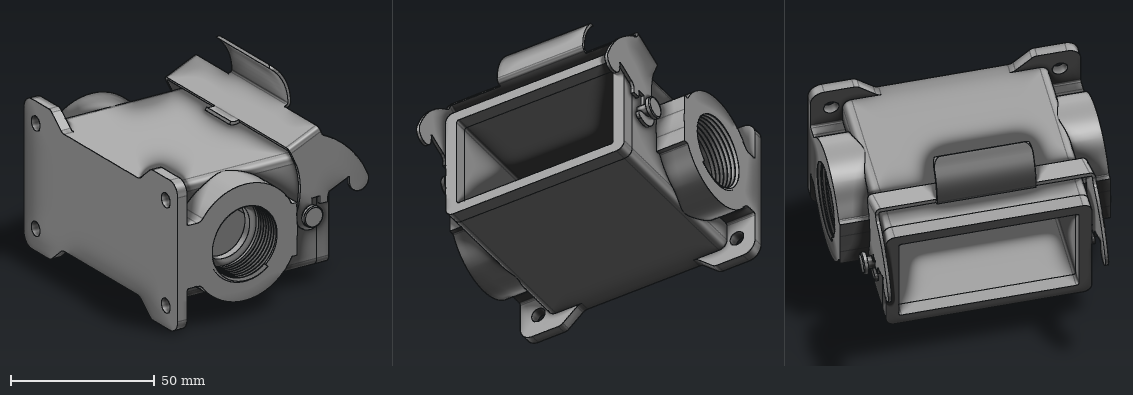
import cadquery as cq
import math


plate_length = 97.0
plate_height = 57.0
plate_thickness = 4.0
plate_corner_radius = 5.0
waist_half_length = 24.2
pad_inner_x = 31.7
waist_fillet = 3.0
mount_hole_diameter = 5.5
mount_hole_x = 41.0
mount_hole_z = 20.0

box_length = 73.8
box_height = 44.5
box_corner_radius = 3.2
box_end_y = 66.0
wall_x = 4.6
wall_z = 4.0
cavity_corner_radius = 1.0

entry_y = 28.25
entry_root_x = box_length / 2 - box_corner_radius
entry_diameter = 44.2
entry_flat_y = 50.0
entry_flat_half_height = 10.0
entry_flat_fillet = 0.5
entry_web_half_height = 12.0
entry_web_fillet = 3.0
entry_web_foot_fillet = 0.8
entry_bore_diameter = 27.0
entry_bore_depth = 13.2
entry_through_diameter = 21.5
thread_pitch = 1.6
thread_groove_width = 0.9 * thread_pitch
thread_depth = 1.4
thread_length = 11.8
thread_start_angle = 220.0

peg_y = 60.7
peg_diameter = 4.5
peg_head_diameter = 8.0
peg_head_start_x = 41.5
peg_head_end_x = 43.25
peg_head_chamfer = 0.4
peg_root_depth = 1.0

seal_end_y = 71.2

lever_outer_x = 39.5
sheet_thickness = 1.2
bend_outer_radius = 2.0
lever_tilt = 24.0
bridge_top_v = 27.25
bridge_front_u = 3.4
bridge_rear_u = 17.2
handle_width = 35.4
handle_outer_radius = 19.0
handle_rear_y = 67.95
handle_top_z = 48.28
handle_corner_radius = 3.0
handle_bend_inner_radius = 0.8
lip_width = 15.3
lip_bend_radius = 4.3
lip_bend_angle = 52.0
hook_radius = 4.0
hook_y = 82.15
hook_z = 7.7
nub_radius = 1.5
nub_y = 64.2
nub_z = -4.0
slot_front_y = 62.3
slot_rear_y = 65.6
slot_top_z = 5.55
heel_rear_y = 68.95
heel_bottom_z = 2.65
heel_corner_start = (70.6, 6.8)
heel_corner_middle = (69.4, 6.0)
heel_corner_end_z = 4.6
neck_middle = (66.8, 28.7)
neck_end = (68.5, 27.6)
back_middle = (78.5, 20.4)
hook_back_angle = 30.0
throat_radius = 0.4
fork_outer_middle = (57.4, -4.6)
front_edge_bottom = (56.0, 1.5)
front_edge_middle = (57.5, 10.4)
front_edge_top = (56.0, 19.2)

sides = (-1, 1)
tilt = math.radians(lever_tilt)


def box_section(start_y, end_y, length, height, radius):
    """Rounded rectangular bar along Y."""
    return (
        cq.Workplane("XZ", origin=(0, start_y, 0))
        .rect(length, height)
        .extrude(-(end_y - start_y))
        .edges("|Y")
        .fillet(radius)
    )


def cylinder_x(start_x, end_x, diameter, y):
    """Cylinder along X at height Z = 0."""
    return cq.Workplane("YZ", origin=(start_x, y, 0)).circle(diameter / 2).extrude(end_x - start_x)


def mounting_plate():
    half_length = plate_length / 2
    half_height = plate_height / 2
    half_waist = box_height / 2
    upper_right = [
        (waist_half_length, half_waist),
        (pad_inner_x, half_height),
        (half_length, half_height),
    ]
    lower_right = [(x, -z) for x, z in reversed(upper_right)]
    right = upper_right + lower_right
    left = [(-x, -z) for x, z in right]
    plate = cq.Workplane("XZ").polyline(right + left).close().extrude(-plate_thickness)

    def edges_at(x, z):
        points = [(sx * x, plate_thickness / 2, sz * z) for sx in sides for sz in sides]
        selection = plate.newObject([])
        for point in points:
            selection = selection.add(plate.edges(cq.NearestToPointSelector(point)))
        return selection

    waist_edges = edges_at(waist_half_length, half_waist).add(edges_at(pad_inner_x, half_height))
    plate = waist_edges.fillet(waist_fillet)
    plate = edges_at(half_length, half_height).fillet(plate_corner_radius)
    holes = (
        cq.Workplane("XZ")
        .rect(2 * mount_hole_x, 2 * mount_hole_z, forConstruction=True)
        .vertices()
        .circle(mount_hole_diameter / 2)
        .extrude(-plate_thickness)
    )
    return plate.cut(holes)


def tangent_offset(half_height, fillet):
    """Y distance from the entry axis to the end of a fillet between entry and a flat at half_height."""
    return math.sqrt((entry_diameter / 2 + fillet) ** 2 - (half_height + fillet) ** 2)


def flank(half_height, fillet, direction, reach):
    """Quarter of the boss from the entry axis out to reach, with concave fillets against the entry circle."""
    offset = tangent_offset(half_height, fillet)
    ratio = entry_diameter / 2 / (entry_diameter / 2 + fillet)
    touch = (entry_y + direction * offset * ratio, (half_height + fillet) * ratio)
    end = (entry_y + direction * offset, half_height)
    lean = math.atan2(half_height + fillet, offset)
    middle_angle = (lean + math.pi / 2) / 2
    middle = (
        end[0] - direction * fillet * math.cos(middle_angle),
        half_height + fillet - fillet * math.sin(middle_angle),
    )
    return (
        cq.Workplane("YZ", origin=(entry_root_x, 0, 0))
        .moveTo(entry_y, 0)
        .lineTo(*touch)
        .threePointArc(middle, end)
        .lineTo(reach, half_height)
        .lineTo(reach, 0)
        .close()
        .extrude(plate_length / 2 - entry_root_x)
    )


def web_foot():
    """Small fillets where the web meets the plate."""
    size = entry_web_foot_fillet
    return (
        cq.Workplane("YZ", origin=(entry_root_x, 0, 0))
        .moveTo(plate_thickness, entry_web_half_height)
        .lineTo(plate_thickness + size, entry_web_half_height)
        .radiusArc((plate_thickness, entry_web_half_height + size), size)
        .close()
        .extrude(plate_length / 2 - entry_root_x)
    )


def cable_entry():
    """Entry boss on the +X side."""
    boss = cylinder_x(entry_root_x, plate_length / 2, entry_diameter, entry_y)
    parts = [
        flank(entry_flat_half_height, entry_flat_fillet, 1, entry_flat_y),
        flank(entry_web_half_height, entry_web_fillet, -1, plate_thickness),
        web_foot(),
    ]
    for part in parts:
        boss = boss.union(part).union(part.mirror("XY"))
    return boss


def entry_thread():
    """Helical V groove cut into the entry bore on the +X side."""
    bore_radius = entry_bore_diameter / 2
    overlap = 0.1
    half_width = thread_groove_width / 2
    helix = cq.Wire.makeHelix(thread_pitch, thread_length, bore_radius)
    groove = (
        cq.Workplane("XZ")
        .polyline([
            (bore_radius - overlap, -half_width),
            (bore_radius + thread_depth, 0),
            (bore_radius - overlap, half_width),
        ])
        .close()
        .sweep(cq.Workplane(helix), isFrenet=True)
    )
    groove = groove.rotate((0, 0, 0), (0, 1, 0), -90)
    groove = groove.rotate((0, 0, 0), (1, 0, 0), thread_start_angle)
    return groove.translate((plate_length / 2, entry_y, 0))


def pivot_peg():
    """Headed peg on the +X side that carries the lever."""
    shank = cylinder_x(box_length / 2 - peg_root_depth, peg_head_end_x, peg_diameter, peg_y)
    head = cylinder_x(peg_head_start_x, peg_head_end_x, peg_head_diameter, peg_y)
    return shank.union(head.faces(">X").chamfer(peg_head_chamfer))


def cavity(start_y, end_y):
    return box_section(
        start_y, end_y, box_length - 2 * wall_x, box_height - 2 * wall_z, cavity_corner_radius
    )


def make_housing():
    body = box_section(0, box_end_y, box_length, box_height, box_corner_radius)
    body = body.union(mounting_plate())
    entry = cable_entry()
    peg = pivot_peg()
    bore = cylinder_x(plate_length / 2 - entry_bore_depth, plate_length / 2, entry_bore_diameter, entry_y)
    thread = entry_thread()
    body = body.union(entry).union(entry.mirror("YZ"))
    body = body.union(peg).union(peg.mirror("YZ"))
    body = body.cut(cavity(plate_thickness, box_end_y))
    body = body.cut(bore).cut(bore.mirror("YZ"))
    body = body.cut(cylinder_x(-plate_length / 2, plate_length / 2, entry_through_diameter, entry_y))
    return body.cut(thread).cut(thread.mirror("YZ"))


def make_seal():
    frame = box_section(box_end_y, seal_end_y, box_length, box_height, box_corner_radius)
    return frame.cut(cavity(box_end_y, seal_end_y))


def tilted(u, v):
    """Y and Z of a point given along (u) and across (v) the tilted bridge, measured from the peg axis."""
    return (
        peg_y + u * math.cos(tilt) - v * math.sin(tilt),
        u * math.sin(tilt) + v * math.cos(tilt),
    )


def point_on(center, radius, angle):
    """Point on a circle in the YZ plane, with the angle in radians from +Y."""
    return (center[0] + radius * math.cos(angle), center[1] + radius * math.sin(angle))


def lever_side():
    """Side plate on the +X side with rear hook and the open fork around the peg."""
    bend_v = bridge_top_v - bend_outer_radius
    peg_radius = peg_diameter / 2
    slot_entry_z = math.sqrt(peg_radius**2 - (slot_front_y - peg_y) ** 2)
    hook_center = (hook_y, hook_z)
    throat_front_y = hook_y - hook_radius
    underside_slope = math.tan(tilt)
    throat_end_y = throat_front_y - throat_radius
    throat_end_z = heel_corner_start[1] + (throat_end_y - heel_corner_start[0]) * underside_slope
    return (
        cq.Workplane("YZ", origin=(lever_outer_x - sheet_thickness, 0, 0))
        .moveTo(*tilted(bridge_front_u, bend_v))
        .lineTo(*tilted(bridge_rear_u, bend_v))
        .threePointArc(neck_middle, neck_end)
        .threePointArc(back_middle, point_on(hook_center, hook_radius, math.radians(hook_back_angle)))
        .threePointArc((hook_y, hook_z - hook_radius), (throat_front_y, hook_z))
        .lineTo(throat_front_y, throat_end_z - throat_radius / 2)
        .radiusArc((throat_end_y, throat_end_z), -throat_radius)
        .lineTo(*heel_corner_start)
        .threePointArc(heel_corner_middle, (heel_rear_y, heel_corner_end_z))
        .lineTo(heel_rear_y, heel_bottom_z)
        .lineTo(slot_rear_y, heel_bottom_z)
        .lineTo(slot_rear_y, slot_top_z)
        .lineTo(slot_front_y, slot_top_z)
        .lineTo(slot_front_y, slot_entry_z)
        .threePointArc((peg_y - peg_radius, 0), (peg_y, -peg_radius))
        .lineTo(nub_y, nub_z + nub_radius)
        .threePointArc((nub_y + nub_radius, nub_z), (nub_y, nub_z - nub_radius))
        .threePointArc(fork_outer_middle, front_edge_bottom)
        .threePointArc(front_edge_middle, front_edge_top)
        .close()
        .extrude(sheet_thickness)
    )


def lever_bridge():
    """Bent sheet that joins the two side plates."""
    length = bridge_rear_u - bridge_front_u
    front_y, front_z = tilted(bridge_front_u, bridge_top_v - bend_outer_radius)
    plane = cq.Plane(
        origin=(0, front_y, front_z),
        xDir=(1, 0, 0),
        normal=(0, -math.cos(tilt), -math.sin(tilt)),
    )

    inner_radius = bend_outer_radius - sheet_thickness
    flat_half = lever_outer_x - bend_outer_radius
    diagonal = math.sqrt(0.5)

    def arch(radius):
        return (
            cq.Workplane(plane)
            .moveTo(-flat_half - radius, 0)
            .threePointArc((-flat_half - radius * diagonal, radius * diagonal), (-flat_half, radius))
            .lineTo(flat_half, radius)
            .threePointArc((flat_half + radius * diagonal, radius * diagonal), (flat_half + radius, 0))
            .close()
            .extrude(-length)
        )

    return arch(bend_outer_radius).cut(arch(inner_radius))


def arc_strip(width, center, inner_radius, outer_radius, start, end):
    """Curved sheet of the given width along X, between two angles in the YZ plane."""
    middle = (start + end) / 2
    return (
        cq.Workplane("YZ", origin=(-width / 2, 0, 0))
        .moveTo(*point_on(center, inner_radius, start))
        .lineTo(*point_on(center, outer_radius, start))
        .threePointArc(point_on(center, outer_radius, middle), point_on(center, outer_radius, end))
        .lineTo(*point_on(center, inner_radius, end))
        .threePointArc(point_on(center, inner_radius, middle), point_on(center, inner_radius, start))
        .close()
        .extrude(width)
    )


def lever_handle():
    """Curved grip rising from the rear edge of the bridge."""
    bend_radius = handle_bend_inner_radius + sheet_thickness
    bend_y = handle_rear_y - bend_radius
    bridge_edge_y, bridge_edge_z = tilted(bridge_rear_u, bridge_top_v)
    bend_z = (
        bridge_edge_z
        + (bend_y - bridge_edge_y) * math.tan(tilt)
        + handle_bend_inner_radius / math.cos(tilt)
    )
    bend = arc_strip(
        handle_width,
        (bend_y, bend_z),
        handle_bend_inner_radius,
        bend_radius,
        tilt - math.pi / 2,
        0,
    )
    grip = arc_strip(
        handle_width,
        (handle_rear_y - handle_outer_radius, bend_z),
        handle_outer_radius - sheet_thickness,
        handle_outer_radius,
        0,
        math.asin((handle_top_z - bend_z) / handle_outer_radius),
    )
    rounded_outline = (
        cq.Workplane("XZ")
        .rect(handle_width, 2 * handle_top_z)
        .extrude(-2 * handle_rear_y)
        .edges("|Y and >Z")
        .fillet(handle_corner_radius)
    )
    tongue_rear_u = (
        bridge_rear_u
        + (bend_y - bridge_edge_y) / math.cos(tilt)
        + handle_bend_inner_radius * math.tan(tilt)
    )
    tongue = (
        cq.Workplane("YZ", origin=(-handle_width / 2, 0, 0))
        .polyline([
            tilted(bridge_rear_u, bridge_top_v),
            tilted(bridge_rear_u, bridge_top_v - sheet_thickness),
            tilted(tongue_rear_u, bridge_top_v - sheet_thickness),
            tilted(tongue_rear_u, bridge_top_v),
        ])
        .close()
        .extrude(handle_width)
    )
    return grip.intersect(rounded_outline).union(bend).union(tongue)


def lever_lip():
    """Short curled lip at the front edge of the bridge."""
    center = tilted(bridge_front_u, bridge_top_v - sheet_thickness / 2 + lip_bend_radius)
    start = tilt - math.pi / 2
    return arc_strip(
        lip_width,
        center,
        lip_bend_radius - sheet_thickness / 2,
        lip_bend_radius + sheet_thickness / 2,
        start,
        start - math.radians(lip_bend_angle),
    )


def make_lever():
    side = lever_side()
    lever = lever_bridge().union(side).union(side.mirror("YZ"))
    return lever.union(lever_handle()).union(lever_lip())


housing = make_housing()
seal = make_seal()
lever = make_lever()

result = cq.Compound.makeCompound([housing.val(), seal.val(), lever.val()])